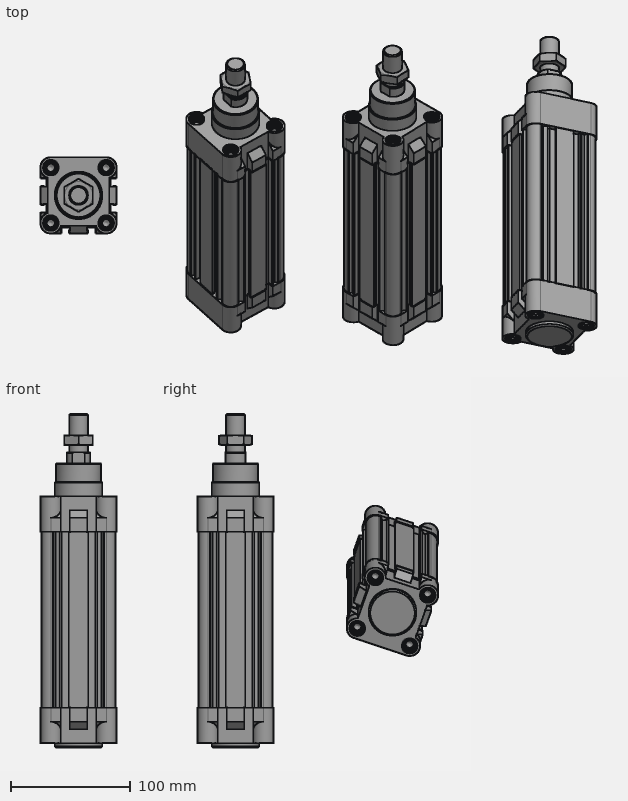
import cadquery as cq
import math


total_height = 279.0
spigot_height = 4.0
cap_height = 29.5
cap_top = 210.0
collar_step = 222.5
collar_top = 238.0
shoulder_top = 247.0
nut_bottom = 253.0
nut_height = 8.0
lower_tube_end = spigot_height + cap_height
upper_tube_end = cap_top - cap_height

cap_width = 64.0
cap_half = cap_width / 2
screw_offset = 23.2
boss_radius = cap_half - screw_offset
pad_depth = 6.5
cap_face = cap_half - pad_depth
pad_height = 11.7
pad_slope_height = 6.0
middle_pad_width = 14.5
corner_pad_start = screw_offset - math.sqrt(boss_radius**2 - (cap_face - screw_offset)**2)

screw_mouth_diameter = 13.0
screw_steps = [(11.5, 1.7), (9.8, 3.3), (8.0, 5.0), (6.7, 6.7)]
drill_tip_height = 2.0
mouth_chamfer_depth = (screw_mouth_diameter - screw_steps[0][0]) / 2

tube_inset = 0.8
channel_depth = 4.2
tube_half = cap_half - tube_inset
tube_floor = tube_half - channel_depth
rib_half_width = 8.0
rib_neck_half_width = 7.0
rib_head_inner = 29.0
land_start = 14.0
groove_start = 15.5
groove_bottom = 19.0
groove_depth = 2.2
groove_end = 21.5
groove_lip_width = 0.8
groove_lip_depth = 0.3
tube_corner_radius = tube_half - screw_offset

collar_diameter = 40.0
collar_neck_diameter = 38.0
collar_chamfer = 0.8
spigot_chamfer = 1.5

thread_diameter = 16.0
shoulder_diameter = 20.0
wrench_flats = 17.0
rod_chamfer = 1.0
shoulder_chamfer = 0.5
nut_across_flats = 24.0
hexagon_sides = 6
nut_bevel_diameter = 23.7
nut_bevel_angle = 15

corner_signs = [(sx, sy) for sx in (-1, 1) for sy in (-1, 1)]
screw_points = [(sx * screw_offset, sy * screw_offset) for sx, sy in corner_signs]
notched_side_angles = (-90, 0, 90)


def cylinder(diameter, bottom, top):
    return cq.Workplane("XY").workplane(offset=bottom).circle(diameter / 2).extrude(top - bottom)


def side_pad(start, end):
    """Pad on the -Y side between two X places, sloping back to the cap face."""
    outline = [
        (-cap_face, 0),
        (-cap_half, 0),
        (-cap_half, pad_height),
        (-cap_face, pad_height + pad_slope_height),
    ]
    return cq.Workplane("YZ").workplane(offset=start).polyline(outline).close().extrude(end - start)


def screw_recess():
    """Stepped round recess with a drill tip, opening at the cap end face at the axis."""
    previous_depth = mouth_chamfer_depth
    profile = (
        cq.Workplane("XZ")
        .moveTo(0, cap_height)
        .lineTo(screw_mouth_diameter / 2, cap_height)
    )
    for diameter, depth in screw_steps:
        profile = profile.lineTo(diameter / 2, cap_height - previous_depth)
        profile = profile.lineTo(diameter / 2, cap_height - depth)
        previous_depth = depth
    profile = profile.lineTo(0, cap_height - previous_depth - drill_tip_height)
    return profile.close().revolve(360, (0, 0, 0), (0, 1, 0))


def end_cap():
    """End cap with its tube joint at Z = 0 and its outer end face at the cap height."""
    cap = cq.Workplane("XY").rect(2 * cap_face, 2 * cap_face).extrude(cap_height)
    bosses = cq.Workplane("XY").pushPoints(screw_points).circle(boss_radius).extrude(cap_height)
    plain_side = (
        cq.Workplane("XY")
        .center(0, cap_half / 2)
        .rect(2 * screw_offset, cap_half)
        .extrude(cap_height)
    )
    cap = cap.union(bosses).union(plain_side)
    pad_spans = [
        (-screw_offset, -corner_pad_start),
        (-middle_pad_width / 2, middle_pad_width / 2),
        (corner_pad_start, screw_offset),
    ]
    for angle in notched_side_angles:
        for start, end in pad_spans:
            cap = cap.union(side_pad(start, end).rotate((0, 0, 0), (0, 0, 1), angle))
    recess = screw_recess()
    for x, y in screw_points:
        cap = cap.cut(recess.translate((x, y, 0)))
    return cap


def tube_section(profile):
    """Extrude a closed profile over the length of the tube."""
    return profile.extrude(upper_tube_end - lower_tube_end).translate((0, 0, lower_tube_end))


def side_channel(side):
    """Section cut from the -Y side of the tube, between the rib and one corner land."""
    outline = [
        (side * rib_half_width, -cap_half),
        (side * rib_half_width, -rib_head_inner),
        (side * rib_neck_half_width, -rib_head_inner),
        (side * rib_neck_half_width, -tube_floor),
        (side * land_start, -tube_floor),
        (side * land_start, -cap_half),
    ]
    return tube_section(cq.Workplane("XY").polyline(outline).close())


def sensor_groove(side):
    """Groove in the corner land: a rounded inner wall and a slanted outer wall with a bevelled lip."""
    arc_width = groove_bottom - groove_start
    arc_radius = (arc_width**2 + groove_depth**2) / (2 * groove_depth)
    half_angle = math.asin(arc_width / arc_radius) / 2
    floor_y = groove_depth - tube_half
    middle_x = groove_bottom - arc_radius * math.sin(half_angle)
    middle_y = floor_y - arc_radius * (1 - math.cos(half_angle))
    profile = (
        cq.Workplane("XY")
        .moveTo(side * groove_start, -tube_half)
        .threePointArc((side * middle_x, middle_y), (side * groove_bottom, floor_y))
        .lineTo(side * (groove_end - groove_lip_width), groove_lip_depth - tube_half)
        .lineTo(side * groove_end, -tube_half)
        .close()
    )
    return tube_section(profile)


def tube():
    body = tube_section(cq.Workplane("XY").rect(2 * tube_half, 2 * tube_half))
    body = body.edges("|Z").fillet(tube_corner_radius)
    for angle in (0, 90, 180, 270):
        for side in (-1, 1):
            cutter = side_channel(side).union(sensor_groove(side))
            body = body.cut(cutter.rotate((0, 0, 0), (0, 0, 1), angle))
    return body


def make_housing():
    upper_cap = end_cap().translate((0, 0, upper_tube_end))
    lower_cap = end_cap().mirror("XY").translate((0, 0, lower_tube_end))
    collar = cylinder(collar_diameter, cap_top, collar_step).faces(">Z").chamfer(collar_chamfer)
    neck = cylinder(collar_neck_diameter, cap_top, collar_top).faces(">Z").chamfer(collar_chamfer)
    spigot = cylinder(collar_diameter, 0, spigot_height).faces("<Z").chamfer(spigot_chamfer)
    return tube().union(upper_cap).union(lower_cap).union(collar).union(neck).union(spigot)


def make_rod():
    shoulder = cylinder(shoulder_diameter, collar_top, shoulder_top).faces(">Z").chamfer(shoulder_chamfer)
    flats = (
        cq.Workplane("XY")
        .workplane(offset=collar_top)
        .rect(shoulder_diameter, wrench_flats)
        .extrude(shoulder_top - collar_top)
    )
    thread = cylinder(thread_diameter, collar_top, total_height).faces(">Z").chamfer(rod_chamfer)
    return shoulder.intersect(flats).union(thread)


def make_nut():
    """Hexagon nut whose corners are bevelled on the top and bottom faces."""
    corner_radius = nut_across_flats / 2 / math.cos(math.pi / hexagon_sides)
    flat_radius = nut_bevel_diameter / 2
    bevel_height = (corner_radius - flat_radius) * math.tan(math.radians(nut_bevel_angle))
    blank = cq.Workplane("XY").polygon(hexagon_sides, 2 * corner_radius).extrude(nut_height)
    bevel_outline = [
        (0, 0),
        (flat_radius, 0),
        (corner_radius, bevel_height),
        (corner_radius, nut_height - bevel_height),
        (flat_radius, nut_height),
        (0, nut_height),
    ]
    bevels = cq.Workplane("XZ").polyline(bevel_outline).close().revolve(360, (0, 0, 0), (0, 1, 0))
    nut = blank.intersect(bevels).faces(">Z").workplane().hole(thread_diameter)
    return nut.rotate((0, 0, 0), (0, 0, 1), 90).translate((0, 0, nut_bottom))


housing = make_housing()
rod = make_rod()
nut = make_nut()

result = cq.Compound.makeCompound([housing.val(), rod.val(), nut.val()])